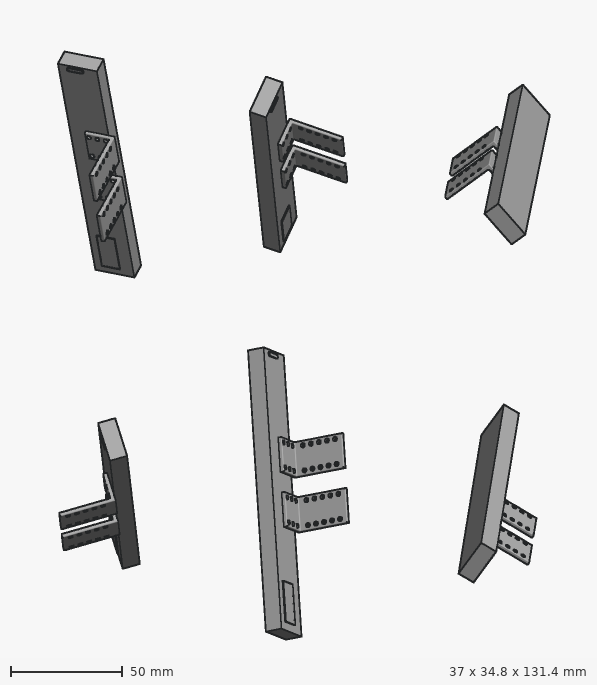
import cadquery as cq

bar_width = 19.0
bar_depth = 8.0
bar_length = 130.0

pad_height = 0.5
pad_line_x = 8.3
label_width = 8.8
label_length = 18.9
label_bottom_z = 4.0
button_length = 8.0
button_width = 2.0
button_below_top = 2.1

bracket_height = 16.0
bracket_thickness = 2.0
bracket_edge_radius = 0.5
flange_width = 14.0
leg_length = 26.0
leg_inner_x = flange_width - bracket_thickness
flange_left_x = 8.1
lower_bracket_z = 48.5
bracket_pitch = 25.4
bracket_count = 2

hole_diameter = 2.0
hole_rows = 2
hole_row_spacing = 11.5
hole_pitch = 4.1
flange_hole_columns = 3
flange_hole_edge = 1.8
leg_hole_columns = 5
leg_hole_edge = 3.7

twist_angle = 2.1
lean_angle = 7.9


def orient(body):
    """Twist a body about the bar's length, then lean it sideways."""
    twisted = body.rotate((0, 0, 0), (0, 0, 1), -twist_angle)
    return twisted.rotate((0, 0, 0), (0, 1, 0), -lean_angle)


def make_bar():
    """Plain bar with a rectangular label pad and a rounded button pad on its front face."""
    bar = cq.Workplane("XY").box(bar_width, bar_depth, bar_length, centered=False)
    label = (
        cq.Workplane("XZ")
        .center(pad_line_x, label_bottom_z + label_length / 2)
        .rect(label_width, label_length)
        .extrude(pad_height)
    )
    button = (
        cq.Workplane("XZ")
        .center(pad_line_x, bar_length - button_below_top)
        .slot2D(button_length, button_width)
        .extrude(pad_height)
    )
    return bar.union(label).union(button)


def rounded_angle():
    """Solid L-shaped angle with its long edges rounded and the corners of its free ends square."""
    angle = (
        cq.Workplane("XY")
        .moveTo(0, 0)
        .lineTo(flange_width, 0)
        .lineTo(flange_width, -leg_length)
        .lineTo(leg_inner_x, -leg_length)
        .lineTo(leg_inner_x, -bracket_thickness)
        .lineTo(0, -bracket_thickness)
        .close()
        .extrude(bracket_height)
    )
    long_edges = cq.selectors.InverseSelector(cq.selectors.LengthNthSelector(0))
    return angle.edges(long_edges).fillet(bracket_edge_radius)


def hole_circles(plate_face, row_start, columns):
    """Outlines of the rows of holes, with the first column at row_start across the plate face."""
    return (
        plate_face.center(row_start + (columns - 1) * hole_pitch / 2, bracket_height / 2)
        .rarray(hole_pitch, hole_row_spacing, columns, hole_rows)
        .circle(hole_diameter / 2)
    )


def make_bracket():
    """Drilled bracket with its left, rear, bottom corner at the origin."""
    flange_holes = hole_circles(
        cq.Workplane("XZ"), flange_hole_edge, flange_hole_columns
    ).extrude(bracket_thickness)
    leg_holes = hole_circles(
        cq.Workplane("YZ", origin=(leg_inner_x, 0, 0)), leg_hole_edge - leg_length, leg_hole_columns
    ).extrude(bracket_thickness)
    return rounded_angle().cut(flange_holes).cut(leg_holes)


bar = orient(make_bar())
bracket = make_bracket()
brackets = []
for index in range(bracket_count):
    bracket_z = lower_bracket_z + index * bracket_pitch
    brackets.append(orient(bracket.translate((flange_left_x, 0, bracket_z))))

result = cq.Compound.makeCompound([bar.val(), *[body.val() for body in brackets]])